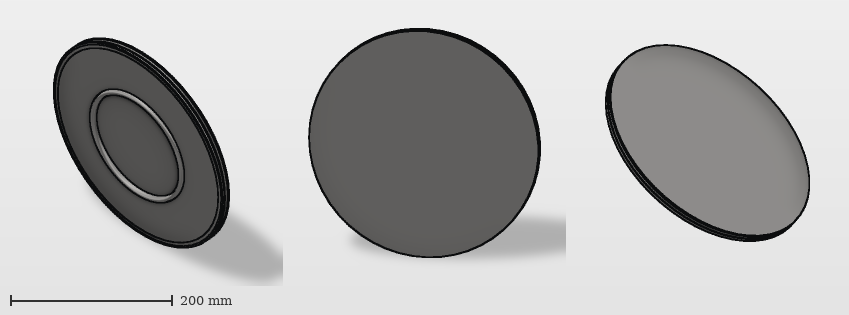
import cadquery as cq

OUTER_RADIUS = 145.0
TOTAL_DEPTH = 17.5

NECK_RADIUS = 142.5
FACE_RADIUS = 137.5
DISC_DEPTH = 12.2
FACE_RAISE = 0.35

BACK_FLANGE_DEPTH = 2.3
GROOVE_HALF_WIDTH = 2.5
BACK_ARC_OUTER_RADIUS = 144.7
BACK_ARC_SAG = -0.4
BAND_ARC_OUTER_RADIUS = 143.8
BAND_ARC_SAG = -0.35

RING_OUTER_RADIUS = 79.8
RING_INNER_RADIUS = 72.5
RING_WALL_HEIGHT = 2.3
CENTRE_RECESS = 2.0

Y_BACK = TOTAL_DEPTH / 2
Y_FRONT = -TOTAL_DEPTH / 2
Y_FACE = Y_BACK - DISC_DEPTH
Y_CENTRE = Y_FACE + CENTRE_RECESS
Y_BAND_FRONT = Y_FACE + FACE_RAISE
Y_FLANGE = Y_BACK - BACK_FLANGE_DEPTH
Y_GROOVE_BOTTOM = Y_FLANGE - GROOVE_HALF_WIDTH
Y_BAND_BACK = Y_GROOVE_BOTTOM - GROOVE_HALF_WIDTH


def turn(profile):
    """Revolve a closed (radius, y) profile a full turn about the Y axis."""
    return profile.close().revolve(360, (0, 0, 0), (0, 1, 0))


def make_disc():
    """Disc with a back flange that curves down to the neck, and a shallow central recess in front."""
    profile = (
        cq.Workplane("XY")
        .moveTo(0, Y_BACK)
        .lineTo(OUTER_RADIUS, Y_BACK)
        .lineTo(OUTER_RADIUS, Y_FLANGE)
        .lineTo(BACK_ARC_OUTER_RADIUS, Y_FLANGE)
        .sagittaArc((NECK_RADIUS, Y_GROOVE_BOTTOM), BACK_ARC_SAG)
        .lineTo(NECK_RADIUS, Y_BAND_FRONT)
        .lineTo(FACE_RADIUS, Y_BAND_FRONT)
        .lineTo(FACE_RADIUS, Y_FACE)
        .lineTo(RING_OUTER_RADIUS, Y_FACE)
        .lineTo(RING_OUTER_RADIUS, Y_CENTRE)
        .lineTo(0, Y_CENTRE)
    )
    return turn(profile)


def make_band():
    """Front band fitted around the neck, its back corner a hollow arc that completes the groove."""
    profile = (
        cq.Workplane("XY")
        .moveTo(NECK_RADIUS, Y_BAND_FRONT)
        .lineTo(NECK_RADIUS, Y_GROOVE_BOTTOM)
        .sagittaArc((BAND_ARC_OUTER_RADIUS, Y_BAND_BACK), BAND_ARC_SAG)
        .lineTo(OUTER_RADIUS, Y_BAND_BACK)
        .lineTo(OUTER_RADIUS, Y_BAND_FRONT)
    )
    return turn(profile)


def make_ring():
    """Ring with straight walls and a rounded crown, lining the wall of the central recess."""
    y_wall_top = Y_FACE - RING_WALL_HEIGHT
    crown_radius = (RING_OUTER_RADIUS + RING_INNER_RADIUS) / 2
    profile = (
        cq.Workplane("XY")
        .moveTo(RING_INNER_RADIUS, Y_CENTRE)
        .lineTo(RING_INNER_RADIUS, y_wall_top)
        .threePointArc((crown_radius, Y_FRONT), (RING_OUTER_RADIUS, y_wall_top))
        .lineTo(RING_OUTER_RADIUS, Y_CENTRE)
    )
    return turn(profile)


disc = make_disc()
band = make_band()
ring = make_ring()

result = cq.Compound.makeCompound([disc.val(), band.val(), ring.val()])